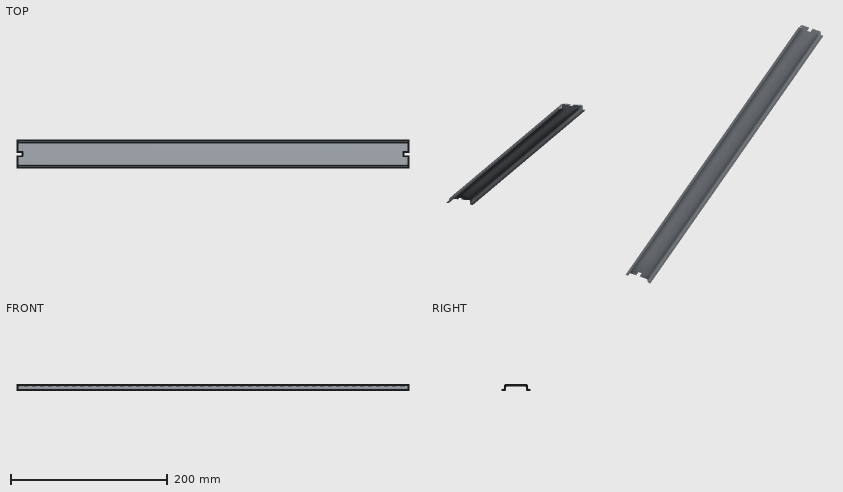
import cadquery as cq

length = 500.0
width = 35.0
height = 7.0

thickness = 1.0
crown_width = 29.0
inner_bend_radius = 1.0
outer_bend_radius = inner_bend_radius + thickness

notch_width = 5.0
notch_depth = 6.5


def hat_section():
    """Sharp-cornered hat outline in the YZ plane, centred on Y and Z."""
    flange_y = width / 2
    outer_y = crown_width / 2
    inner_y = outer_y - thickness
    bottom_z = -height / 2
    top_z = height / 2
    flange_top_z = bottom_z + thickness
    crown_underside_z = top_z - thickness
    right_half = [
        (inner_y, crown_underside_z),
        (inner_y, bottom_z),
        (flange_y, bottom_z),
        (flange_y, flange_top_z),
        (outer_y, flange_top_z),
        (outer_y, top_z),
    ]
    left_half = [(-y, z) for y, z in reversed(right_half)]
    return cq.Workplane("YZ").polyline(right_half + left_half).close()


def bend_edges(body, y, z):
    """Lengthwise edges at the mirrored pair of corners (+y, z) and (-y, z)."""
    margin = thickness / 4
    right, left = [
        cq.selectors.BoxSelector(
            (-margin, side * y - margin, z - margin),
            (margin, side * y + margin, z + margin),
        )
        for side in (1, -1)
    ]
    return body.edges(right + left)


def round_bends(body):
    """Round both faces of each bend about a common centre."""
    outer_y = crown_width / 2
    inner_y = outer_y - thickness
    top_z = height / 2
    bends = [
        (outer_y, top_z, outer_bend_radius),
        (inner_y, top_z - thickness, inner_bend_radius),
        (inner_y, -top_z, outer_bend_radius),
        (outer_y, -top_z + thickness, inner_bend_radius),
    ]
    for y, z, radius in bends:
        body = bend_edges(body, y, z).fillet(radius)
    return body


def cut_end_notches(body):
    """Cut a rectangular notch through the crown at both ends."""
    for end in (-1, 1):
        notch = cq.Workplane("XY").box(2 * notch_depth, notch_width, 2 * height)
        body = body.cut(notch.translate((end * length / 2, 0, 0)))
    return body


rail = hat_section().extrude(length / 2, both=True)
result = cut_end_notches(round_bends(rail))